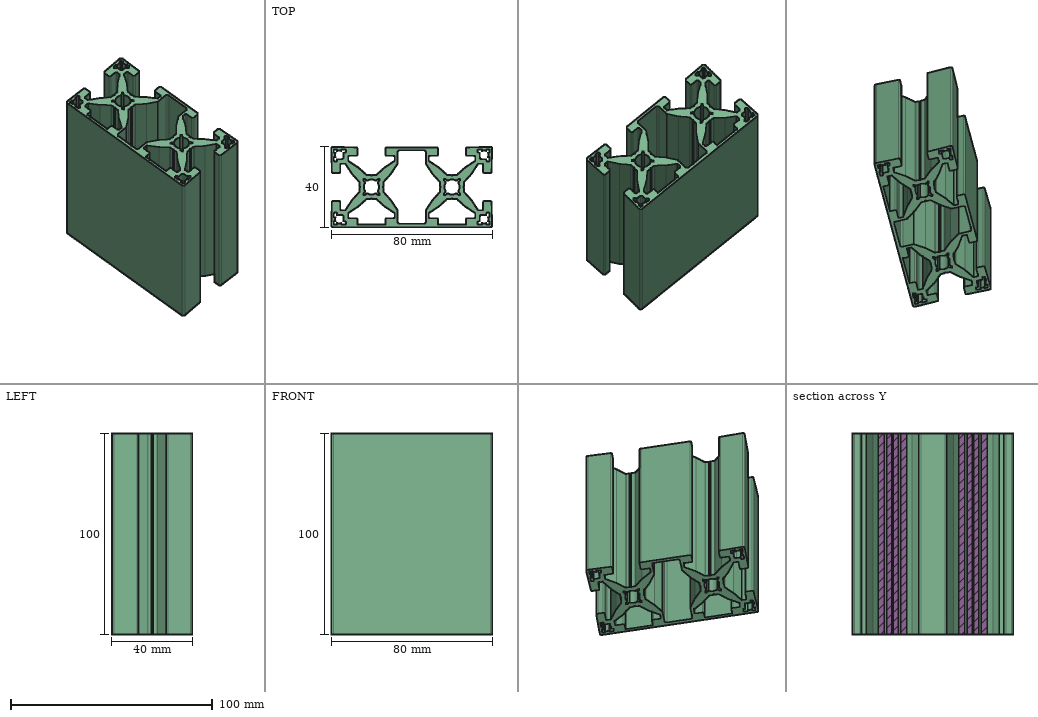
import cadquery as cq
import math

LENGTH = 100.0
MODULE = 40.0
HALF_MODULE = MODULE / 2
HALF_WIDTH = MODULE
CORNER_RADIUS = 1.0
LIP_DROP = 0.3

MOUTH_HALF = 6.9
UNDERCUT_HALF = 11.5
LIP_UNDERSIDE = 15.4
SHOULDER = 13.0
FLANK_BEND = (6.5, 9.7)
FLOOR_HALF = 2.4
FLOOR_DEPTH = 6.0
GROOVE_HALF = 0.5
GROOVE_DEPTH = 0.3
COVER_THICKNESS = 1.4
FLOOR_RADIUS = 0.6
LIP_RADIUS = 0.8
UNDERCUT_RADIUS = 0.4

CHAMBER_HALF_WIDTH = HALF_MODULE - SHOULDER
CHAMBER_HALF_HEIGHT = 18.2
CHAMBER_RADIUS = 1.0

BORE_RADIUS = 3.7
NOTCH_START = 3.0
NOTCH_START_HALF = 0.8
NOTCH_END = 5.1
NOTCH_END_HALF = 0.4

CELL_WALL = 1.4
CELL_CENTRE = 4.0
CELL_RADIUS = 2.1
RIDGE_HALF = 1.1
ARM_END = 7.3
CELL_CORNER_RADIUS = 0.8
ARM_END_RADIUS = 0.5


def round_edge(solid, x, y, radius):
    """Fillet the lengthwise edge that passes through (x, y)."""
    edge = cq.NearestToPointSelector((x, y, LENGTH / 2))
    return solid.edges("|Z").edges(edge).fillet(radius)


def outer_block():
    """Solid outline: flat -Y face, the other faces sinking slightly towards the slots."""
    start = HALF_MODULE - CORNER_RADIUS
    inset = CORNER_RADIUS * (1 - math.sqrt(0.5))
    lip_x = HALF_MODULE + MOUTH_HALF
    lip_y = HALF_MODULE - LIP_DROP
    return (
        cq.Workplane("XY")
        .moveTo(0, lip_y)
        .lineTo(lip_x, lip_y)
        .lineTo(HALF_WIDTH - CORNER_RADIUS, HALF_MODULE)
        .threePointArc((HALF_WIDTH - inset, HALF_MODULE - inset), (HALF_WIDTH, start))
        .lineTo(HALF_WIDTH - LIP_DROP, MOUTH_HALF)
        .lineTo(HALF_WIDTH - LIP_DROP, -MOUTH_HALF)
        .lineTo(HALF_WIDTH, -start)
        .threePointArc((HALF_WIDTH - inset, inset - HALF_MODULE), (HALF_WIDTH - CORNER_RADIUS, -HALF_MODULE))
        .lineTo(0, -HALF_MODULE)
        .mirrorY()
        .extrude(LENGTH)
    )


def slot_cutter(mouth_end):
    """T-slot opening towards +Y from a module centre at the origin."""
    cutter = (
        cq.Workplane("XY")
        .moveTo(0, FLOOR_DEPTH - GROOVE_DEPTH)
        .lineTo(GROOVE_HALF, FLOOR_DEPTH)
        .lineTo(FLOOR_HALF, FLOOR_DEPTH)
        .lineTo(*FLANK_BEND)
        .lineTo(UNDERCUT_HALF, SHOULDER)
        .lineTo(UNDERCUT_HALF, LIP_UNDERSIDE)
        .lineTo(MOUTH_HALF, LIP_UNDERSIDE)
        .lineTo(MOUTH_HALF, mouth_end)
        .lineTo(0, mouth_end)
        .mirrorY()
        .extrude(LENGTH)
    )
    for side in (-1, 1):
        cutter = round_edge(cutter, side * FLOOR_HALF, FLOOR_DEPTH, FLOOR_RADIUS)
        cutter = round_edge(cutter, side * UNDERCUT_HALF, LIP_UNDERSIDE, UNDERCUT_RADIUS)
        cutter = round_edge(cutter, side * MOUTH_HALF, LIP_UNDERSIDE, LIP_RADIUS)
    return cutter


def chamber_cutter():
    """Tall chamber between the modules, bulging out to both cores."""
    floor = HALF_MODULE - FLOOR_DEPTH
    bend_y, bend_depth = FLANK_BEND
    bend_x = HALF_MODULE - bend_depth
    cutter = (
        cq.Workplane("XY")
        .moveTo(0, CHAMBER_HALF_HEIGHT)
        .lineTo(CHAMBER_HALF_WIDTH, CHAMBER_HALF_HEIGHT)
        .lineTo(CHAMBER_HALF_WIDTH, UNDERCUT_HALF)
        .lineTo(bend_x, bend_y)
        .lineTo(floor, FLOOR_HALF)
        .lineTo(floor, GROOVE_HALF)
        .lineTo(floor + GROOVE_DEPTH, 0)
        .lineTo(floor, -GROOVE_HALF)
        .lineTo(floor, -FLOOR_HALF)
        .lineTo(bend_x, -bend_y)
        .lineTo(CHAMBER_HALF_WIDTH, -UNDERCUT_HALF)
        .lineTo(CHAMBER_HALF_WIDTH, -CHAMBER_HALF_HEIGHT)
        .lineTo(0, -CHAMBER_HALF_HEIGHT)
        .mirrorY()
        .extrude(LENGTH)
    )
    for x_side in (-1, 1):
        for y_side in (-1, 1):
            cutter = round_edge(cutter, x_side * floor, y_side * FLOOR_HALF, FLOOR_RADIUS)
            wall_x = x_side * CHAMBER_HALF_WIDTH
            cutter = round_edge(cutter, wall_x, y_side * CHAMBER_HALF_HEIGHT, CHAMBER_RADIUS)
    return cutter


def bore_cutter():
    """Round core bore with a tapered, round-ended notch on each diagonal."""
    cutter = cq.Workplane("XY").circle(BORE_RADIUS).extrude(LENGTH)
    notch = (
        cq.Workplane("XY")
        .moveTo(NOTCH_START, -NOTCH_START_HALF)
        .lineTo(NOTCH_END, -NOTCH_END_HALF)
        .threePointArc((NOTCH_END + NOTCH_END_HALF, 0), (NOTCH_END, NOTCH_END_HALF))
        .lineTo(NOTCH_START, NOTCH_START_HALF)
        .close()
        .extrude(LENGTH)
    )
    for angle in (45, 135, 225, 315):
        cutter = cutter.union(notch.rotate((0, 0, 0), (0, 0, 1), angle))
    return cutter


def cell_cutter():
    """Screw cell of a corner at the origin, with the material towards +X and +Y."""
    ridge_start = CELL_CENTRE - RIDGE_HALF
    ridge_end = CELL_CENTRE + RIDGE_HALF
    ridge_edge = CELL_CENTRE - math.sqrt(CELL_RADIUS**2 - RIDGE_HALF**2)
    ridge_mid = CELL_CENTRE - CELL_RADIUS
    far_wall = CELL_CENTRE + CELL_RADIUS
    cutter = (
        cq.Workplane("XY")
        .moveTo(CELL_WALL, CELL_WALL)
        .lineTo(ridge_start, CELL_WALL)
        .lineTo(ridge_start, ridge_edge)
        .threePointArc((CELL_CENTRE, ridge_mid), (ridge_end, ridge_edge))
        .lineTo(ridge_end, CELL_WALL)
        .lineTo(ARM_END, CELL_WALL)
        .lineTo(ARM_END, ridge_start)
        .lineTo(far_wall, ridge_start)
        .lineTo(far_wall, far_wall)
        .lineTo(ridge_start, far_wall)
        .lineTo(ridge_start, ARM_END)
        .lineTo(CELL_WALL, ARM_END)
        .lineTo(CELL_WALL, ridge_end)
        .lineTo(ridge_edge, ridge_end)
        .threePointArc((ridge_mid, CELL_CENTRE), (ridge_edge, ridge_start))
        .lineTo(CELL_WALL, ridge_start)
        .close()
        .extrude(LENGTH)
    )
    cutter = round_edge(cutter, far_wall, far_wall, CELL_CORNER_RADIUS)
    for across in (CELL_WALL, ridge_start):
        cutter = round_edge(cutter, ARM_END, across, ARM_END_RADIUS)
        cutter = round_edge(cutter, across, ARM_END, ARM_END_RADIUS)
    return cutter


open_slot = slot_cutter(HALF_MODULE)
covered_slot = slot_cutter(HALF_MODULE - COVER_THICKNESS).mirror("XZ")
bore = bore_cutter()
cell = cell_cutter()

result = outer_block().cut(chamber_cutter())
for side in (-1, 1):
    centre = (side * HALF_MODULE, 0, 0)
    side_slot = open_slot.rotate((0, 0, 0), (0, 0, 1), -90 * side)
    for cutter in (open_slot, side_slot, covered_slot, bore):
        result = result.cut(cutter.translate(centre))

cell_at_left = cell.translate((-HALF_WIDTH, -HALF_MODULE, 0))
for left_cell in (cell_at_left, cell_at_left.mirror("XZ")):
    result = result.cut(left_cell).cut(left_cell.mirror("YZ"))

for side in (-1, 1):
    for mouth_side in (-MOUTH_HALF, MOUTH_HALF):
        result = round_edge(result, side * HALF_MODULE + mouth_side, HALF_MODULE - LIP_DROP, LIP_RADIUS)
        result = round_edge(result, side * (HALF_WIDTH - LIP_DROP), mouth_side, LIP_RADIUS)